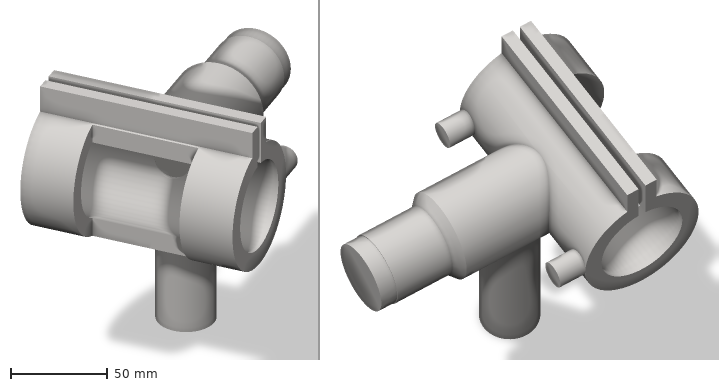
import cadquery as cq


clamp_length = 120.0
ring_radius = 35.0
bore_radius = 25.0

slit_width = 4.2
lug_thickness = 7.0
lug_top_z = 49.0

window_length = clamp_length / 2
window_back_y = -10.2

overall_depth = 169.9
arm_end_y = overall_depth - ring_radius
arm_radius = 25.3
neck_radius = 20.0
taper_start_y = 86.0
taper_end_y = 91.2

plunger_radius = 10.0
head_radius = 19.5
head_length = 9.7
neck_end_y = arm_end_y - head_length

overall_height = 152.9
post_radius = 16.0
post_y = 43.0
post_bottom_z = lug_top_z - overall_height

peg_radius = 7.3
peg_end_y = 50.3
peg_x = clamp_length / 2 - peg_radius


def cylinder_x(radius, length):
    """Cylinder along X, centred on the origin."""
    return cq.Workplane("YZ").circle(radius).extrude(length / 2, both=True)


def cylinder_y(radius, start_y, end_y, x=0):
    """Cylinder along Y between two Y positions."""
    return cq.Workplane("XZ", origin=(x, start_y, 0)).circle(radius).extrude(start_y - end_y)


def make_lugs():
    """Block over the ring that the slit divides into two lugs."""
    lug_block_width = 2 * lug_thickness + slit_width
    return cq.Workplane("XY").rect(clamp_length, lug_block_width).extrude(lug_top_z)


def make_arm():
    """Thick arm that tapers to a thinner neck."""
    profile = [
        (0, 0),
        (arm_radius, 0),
        (arm_radius, taper_start_y),
        (neck_radius, taper_end_y),
        (neck_radius, neck_end_y),
        (0, neck_end_y),
    ]
    return cq.Workplane("XY").polyline(profile).close().revolve(360, (0, 0, 0), (0, 1, 0))


def make_post():
    """Round post hanging down from the arm's axis."""
    return cq.Workplane("XY").center(0, post_y).circle(post_radius).extrude(post_bottom_z)


def make_window():
    """Cutter that opens the ring on its -Y side."""
    window_depth = ring_radius + window_back_y
    return cq.Workplane("XY").box(window_length, window_depth, 2 * ring_radius).translate(
        (0, window_back_y - window_depth / 2, 0)
    )


def make_housing():
    """Clamp ring with lugs, arm, post and pegs, bored for the plunger."""
    housing = cylinder_x(ring_radius, clamp_length)
    housing = housing.union(make_lugs()).union(make_arm()).union(make_post())
    for side in (-1, 1):
        housing = housing.union(cylinder_y(peg_radius, 0, peg_end_y, side * peg_x))

    slit = cq.Workplane("XY").rect(clamp_length, slit_width).extrude(lug_top_z)
    housing = housing.cut(cylinder_x(bore_radius, clamp_length)).cut(slit)
    return housing.cut(make_window()).cut(cylinder_y(plunger_radius, 0, neck_end_y))


def make_plunger():
    """Rod whose flat tip is tangent to the clamp bore, with a head at the far end."""
    rod = cylinder_y(plunger_radius, bore_radius, neck_end_y)
    return rod.union(cylinder_y(head_radius, neck_end_y, arm_end_y))


housing = make_housing()
plunger = make_plunger()

result = cq.Compound.makeCompound([housing.val(), plunger.val()])